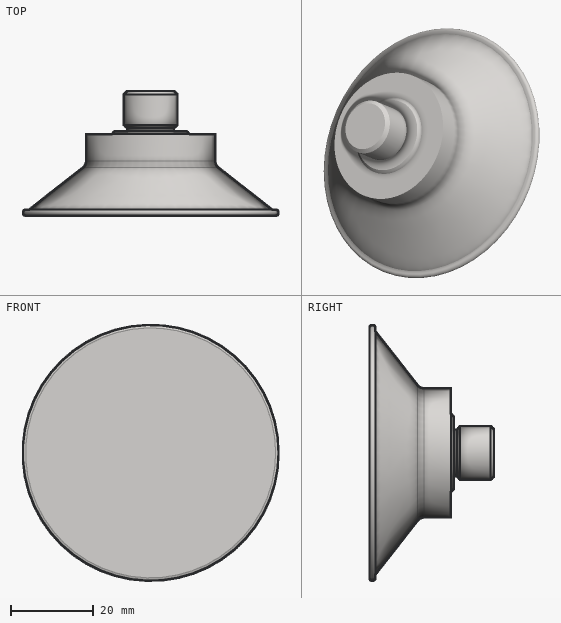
import cadquery as cq
import math


lip_diameter = 62.25
lip_thickness = 1.5
lip_round = lip_thickness / 2
cone_base_diameter = 59.1
cone_top_y = 12.3

collar_diameter = 31.5
blend_radius = 2.0
collar_top_y = 19.85

seat_diameter = 19.0
seat_height = 0.75

stud_diameter = 13.16
stud_root_diameter = 11.45
stud_chamfer = (stud_diameter - stud_root_diameter) / 2
neck_height = 0.75
neck_taper_height = 0.75
overall_height = 30.35

seat_top_y = collar_top_y + seat_height
neck_top_y = seat_top_y + neck_height
stud_bottom_y = neck_top_y + neck_taper_height

collar_radius = collar_diameter / 2
cone_angle = math.atan2(cone_base_diameter / 2 - collar_radius, cone_top_y - lip_thickness)
tangent_length = blend_radius * math.tan(cone_angle / 2)
blend_start = (
    collar_radius + tangent_length * math.sin(cone_angle),
    cone_top_y - tangent_length * math.cos(cone_angle),
)
blend_end = (collar_radius, cone_top_y + tangent_length)
blend_middle = (
    collar_radius + blend_radius * (1 - math.cos(cone_angle / 2)),
    blend_end[1] - blend_radius * math.sin(cone_angle / 2),
)


def make_cup():
    """Solid lip with a fully rounded edge, topped by the cone, blend, collar and seat."""
    lip_radius = lip_diameter / 2
    seat_radius = seat_diameter / 2
    return (
        cq.Workplane("XY")
        .lineTo(lip_radius - lip_round, 0)
        .threePointArc((lip_radius, lip_round), (lip_radius - lip_round, lip_thickness))
        .lineTo(cone_base_diameter / 2, lip_thickness)
        .lineTo(*blend_start)
        .threePointArc(blend_middle, blend_end)
        .lineTo(collar_radius, collar_top_y)
        .lineTo(seat_radius, collar_top_y)
        .lineTo(seat_radius - seat_height, seat_top_y)
        .lineTo(0, seat_top_y)
        .close()
        .revolve(360, (0, 0), (0, 1))
    )


def make_stud():
    """Stud with a chamfered tip and a tapered relief neck above the seat."""
    stud_radius = stud_diameter / 2
    root_radius = stud_root_diameter / 2
    return (
        cq.Workplane("XY")
        .moveTo(0, collar_top_y)
        .lineTo(root_radius, collar_top_y)
        .lineTo(root_radius, neck_top_y)
        .lineTo(stud_radius, stud_bottom_y)
        .lineTo(stud_radius, overall_height - stud_chamfer)
        .lineTo(root_radius, overall_height)
        .lineTo(0, overall_height)
        .close()
        .revolve(360, (0, 0), (0, 1))
    )


result = make_cup().union(make_stud())